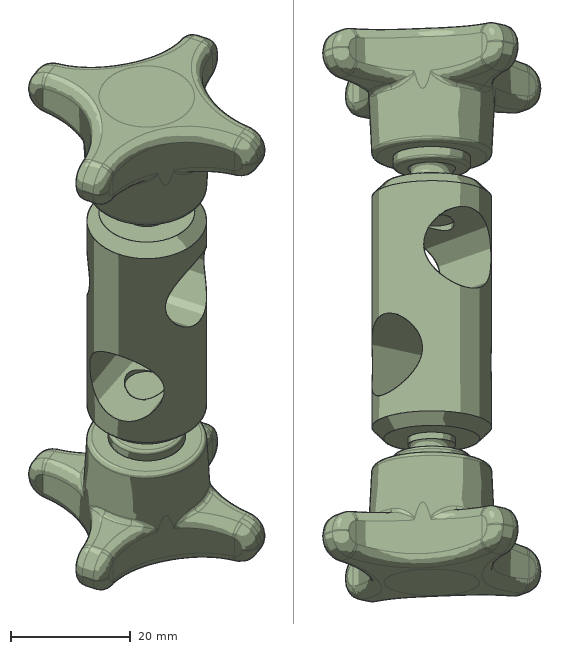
import cadquery as cq
import math

OVERALL_HEIGHT = 94.0
TOP_Z = OVERALL_HEIGHT / 2

BODY_DIAMETER = 20.0
BODY_LENGTH = 44.0
BODY_CHAMFER = 2.0
ROD_HOLE_DIAMETER = 14.0
ROD_HOLE_OFFSET = 9.0

KNOB_SPAN = 43.0
KNOB_HEIGHT = 20.0
CROWN_DIAMETER = 16.0
STAR_HALF_THICKNESS = 5.0
ARM_COUNT = 4
ARM_WIDTH = 6.0
ARM_TIP_FILLET = 3.95
ARM_SLOPE_ANGLE = 5.5
ARM_EDGE_FILLET = 2.0
WEB_RADIUS = 15.0
HUB_FACE_DIAMETER = 20.0
HUB_DRAFT_ANGLE = 3.0
HUB_FACE_FILLET = 0.8
HUB_ROOT_FILLET = 0.9
TRIM_TOLERANCE = 0.001

COLLAR_DIAMETER = 13.0
COLLAR_THICKNESS = 2.0
COLLAR_FILLET = 0.6
SHANK_DIAMETER = 8.0
NECK_DIAMETER = 7.05
NECK_LENGTH = 1.9
SCREW_END_DIAMETER = 7.4

BODY_TOP_Z = BODY_LENGTH / 2
HUB_FACE_Z = TOP_Z - KNOB_HEIGHT
COLLAR_FACE_Z = HUB_FACE_Z - COLLAR_THICKNESS
STAR_MID_Z = TOP_Z - STAR_HALF_THICKNESS
SCREW_END_Z = ROD_HOLE_OFFSET + ROD_HOLE_DIAMETER / 2


def cylinder(radius, bottom_z, top_z):
    return cq.Workplane("XY").workplane(offset=bottom_z).circle(radius).extrude(top_z - bottom_z)


def make_body():
    """Chamfered bar with two perpendicular rod holes and a screw bore in each end."""
    body = cylinder(BODY_DIAMETER / 2, -BODY_TOP_Z, BODY_TOP_Z).faces("|Z").chamfer(BODY_CHAMFER)
    rod_hole_along_x = (
        cq.Workplane("YZ", origin=(-BODY_DIAMETER / 2, 0, ROD_HOLE_OFFSET))
        .circle(ROD_HOLE_DIAMETER / 2).extrude(BODY_DIAMETER)
    )
    rod_hole_along_y = (
        cq.Workplane("XZ", origin=(0, BODY_DIAMETER / 2, -ROD_HOLE_OFFSET))
        .circle(ROD_HOLE_DIAMETER / 2).extrude(BODY_DIAMETER)
    )
    upper_bore = cylinder(SCREW_END_DIAMETER / 2, ROD_HOLE_OFFSET, BODY_TOP_Z)
    lower_bore = cylinder(SCREW_END_DIAMETER / 2, -BODY_TOP_Z, -ROD_HOLE_OFFSET)
    return body.cut(rod_hole_along_x).cut(rod_hole_along_y).cut(upper_bore).cut(lower_bore)


def star_outline_prism():
    """Upright prism of the star: straight arm ends joined by concave tangent arcs."""
    tip = KNOB_SPAN / 2
    half_width = ARM_WIDTH / 2
    arc_end = half_width + WEB_RADIUS
    arc_mid = arc_end - WEB_RADIUS * math.sqrt(0.5)
    quarter = (
        cq.Workplane("XY").workplane(offset=HUB_FACE_Z)
        .lineTo(tip, 0)
        .lineTo(tip, half_width)
        .lineTo(arc_end, half_width)
        .threePointArc((arc_mid, arc_mid), (half_width, arc_end))
        .lineTo(half_width, tip)
        .lineTo(0, tip)
        .close()
        .extrude(KNOB_HEIGHT)
    )
    star = quarter
    for index in range(1, ARM_COUNT):
        star = star.union(quarter.rotate((0, 0, 0), (0, 0, 1), index * 360 / ARM_COUNT))
    return star.clean()


def star_disc():
    """Revolved disc: flat crowns that slope evenly down towards the rim."""
    crown_radius = CROWN_DIAMETER / 2
    rim_radius = KNOB_SPAN
    rim_half_thickness = STAR_HALF_THICKNESS - (rim_radius - crown_radius) * math.tan(
        math.radians(ARM_SLOPE_ANGLE)
    )
    return (
        cq.Workplane("XZ", origin=(0, 0, STAR_MID_Z))
        .moveTo(0, STAR_HALF_THICKNESS)
        .lineTo(crown_radius, STAR_HALF_THICKNESS)
        .lineTo(rim_radius, rim_half_thickness)
        .lineTo(rim_radius, -rim_half_thickness)
        .lineTo(crown_radius, -STAR_HALF_THICKNESS)
        .lineTo(0, -STAR_HALF_THICKNESS)
        .close()
        .revolve(360, (0, 0), (0, 1))
    )


def hub():
    """Tapered hub with a rounded lower face, reaching up into the star."""
    rise = STAR_MID_Z - HUB_FACE_Z
    face_radius = HUB_FACE_DIAMETER / 2
    root_radius = face_radius + rise * math.tan(math.radians(HUB_DRAFT_ANGLE))
    cone = (
        cq.Workplane("XZ")
        .moveTo(0, HUB_FACE_Z)
        .lineTo(face_radius, HUB_FACE_Z)
        .lineTo(root_radius, STAR_MID_Z)
        .lineTo(0, STAR_MID_Z)
        .close()
        .revolve(360, (0, 0), (0, 1))
    )
    return cone.faces("<Z").edges().fillet(HUB_FACE_FILLET)


def round_arm_tips(knob):
    """Round the upper and lower edge of the flat end of every arm."""
    for tip_side in ("<X", ">X", "<Y", ">Y"):
        knob = knob.faces(tip_side).edges("not |Z").fillet(ARM_TIP_FILLET)
    return knob


def round_web_edges(knob):
    """Round the edges that run along the concave walls and around the arm tips."""
    web_centre = ARM_WIDTH / 2 + WEB_RADIUS
    web_reach = web_centre * math.sqrt(2) - WEB_RADIUS
    for index in range(ARM_COUNT):
        angle = (index + 0.5) * 2 * math.pi / ARM_COUNT
        wall_point = (web_reach * math.cos(angle), web_reach * math.sin(angle), STAR_MID_Z)
        wall = knob.faces(cq.selectors.NearestToPointSelector(wall_point))
        knob = wall.edges("not |Z").fillet(ARM_EDGE_FILLET)
    return knob


def fillet_hub_root(knob):
    """Round the inside corners between the hub and the underside of the arms."""
    arm_reach = HUB_FACE_DIAMETER / 2
    underside_z = STAR_MID_Z - STAR_HALF_THICKNESS
    for x, y in ((arm_reach, 0), (0, arm_reach), (-arm_reach, 0), (0, -arm_reach)):
        corner = cq.selectors.NearestToPointSelector((x, y, underside_z))
        knob = knob.edges("%CIRCLE").edges(corner).fillet(HUB_ROOT_FILLET)
    return knob


def make_knob():
    """Upper hand knob: star and hub joined, with the hub trimmed to the concave walls."""
    outline_prism = star_outline_prism()
    star = round_web_edges(round_arm_tips(star_disc().intersect(outline_prism)))
    return fillet_hub_root(star.union(hub())).intersect(outline_prism, tol=TRIM_TOLERANCE)


def make_screw():
    """Upper clamping screw, from the collar on the hub down to the rod hole."""
    collar = cylinder(COLLAR_DIAMETER / 2, COLLAR_FACE_Z, HUB_FACE_Z)
    collar = collar.faces("<Z").edges().fillet(COLLAR_FILLET)
    shank_radius = SHANK_DIAMETER / 2
    shank_top_z = COLLAR_FACE_Z - NECK_LENGTH
    neck_mid = (NECK_DIAMETER / 2, COLLAR_FACE_Z - NECK_LENGTH / 2)
    stem = (
        cq.Workplane("XZ")
        .moveTo(0, COLLAR_FACE_Z)
        .lineTo(shank_radius, COLLAR_FACE_Z)
        .threePointArc(neck_mid, (shank_radius, shank_top_z))
        .lineTo(shank_radius, BODY_TOP_Z)
        .lineTo(SCREW_END_DIAMETER / 2, BODY_TOP_Z)
        .lineTo(SCREW_END_DIAMETER / 2, SCREW_END_Z)
        .lineTo(0, SCREW_END_Z)
        .close()
        .revolve(360, (0, 0), (0, 1))
    )
    return collar.union(stem)


def both_ends(part):
    """The upper part and its copy turned half a turn about X for the lower end."""
    return [part.rotate((0, 0, 0), (1, 0, 0), turn).solids().val() for turn in (0, 180)]


body = make_body()
knobs = both_ends(make_knob())
screws = both_ends(make_screw())

result = cq.Compound.makeCompound([body.val(), *knobs, *screws])